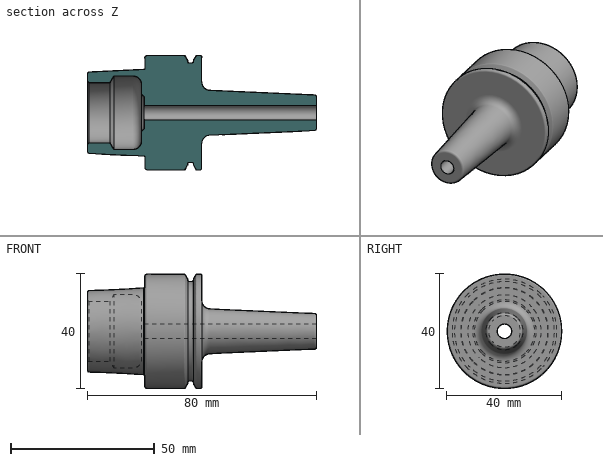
import cadquery as cq
import math

length = 80.0

shank_mouth_radius = 14.2
shank_root_radius = 30.2 / 2
shank_taper_end = 18.3
shank_collar_end = 19.5
shank_flare_radius = 15.3
shank_round = 0.8

flange_start = 20.0
flange_end = 40.0
flange_radius = 40.0 / 2
flange_front_round = 1.0
flange_rear_round = 0.6

groove_start = 35.0
groove_end = 37.0
groove_floor_radius = 34.8 / 2
groove_flare_radius = 18.2
groove_flare_angle = 30.0
groove_floor_round = 0.5
groove_front_rim_round = 0.6
groove_rear_rim_round = 0.5

nose_root_radius = 8.0
nose_tip_radius = 6.2
nose_root_round = 2.8
nose_tip_round = 0.8

mouth_radius = 22.1 / 2
socket_radius = 21.0 / 2
socket_chamfer = mouth_radius - socket_radius
clamp_groove_start = 7.9
clamp_groove_radius = 25.5 / 2
clamp_flank_angle = 60.0
socket_floor_radius = 19.8 / 2
socket_floor_round = clamp_groove_radius - socket_floor_radius
socket_depth = 18.9
recess_radius = 13.0 / 2
recess_floor_radius = 11.0 / 2
recess_depth = socket_depth + recess_radius - recess_floor_radius
through_radius = 5.0 / 2


def revolve_profile(points):
    """Turn a closed (x, radius) outline about the X axis."""
    return cq.Workplane("XY").polyline(points).close().revolve(360, (0, 0, 0), (1, 0, 0))


def round_rim(body, x, radius, size):
    """Round the circular edge found at the given axial place and radius."""
    reach = radius + 0.01
    margin = 0.01
    rim = cq.selectors.BoxSelector(
        (x - margin, -reach, -reach), (x + margin, reach, reach), boundingbox=True
    )
    inner = radius - margin
    edges = [e for e in body.edges(rim).vals() if e.BoundingBox().zmax > inner]
    return body.newObject(edges).fillet(size)


def make_body():
    flare_width = (flange_radius - groove_flare_radius) * math.tan(math.radians(groove_flare_angle))
    groove_front_rim = groove_start - flare_width
    groove_rear_rim = groove_end + flare_width
    body = revolve_profile([
        (0, 0),
        (0, shank_mouth_radius),
        (shank_taper_end, shank_root_radius),
        (shank_collar_end, shank_root_radius),
        (flange_start, shank_flare_radius),
        (flange_start, flange_radius),
        (groove_front_rim, flange_radius),
        (groove_start, groove_flare_radius),
        (groove_start, groove_floor_radius),
        (groove_end, groove_floor_radius),
        (groove_end, groove_flare_radius),
        (groove_rear_rim, flange_radius),
        (flange_end, flange_radius),
        (flange_end, nose_root_radius),
        (length, nose_tip_radius),
        (length, 0),
    ])
    rounds = [
        (0, shank_mouth_radius, shank_round),
        (flange_start, flange_radius, flange_front_round),
        (groove_front_rim, flange_radius, groove_front_rim_round),
        (groove_start, groove_floor_radius, groove_floor_round),
        (groove_end, groove_floor_radius, groove_floor_round),
        (groove_rear_rim, flange_radius, groove_rear_rim_round),
        (flange_end, flange_radius, flange_rear_round),
        (flange_end, nose_root_radius, nose_root_round),
        (length, nose_tip_radius, nose_tip_round),
    ]
    for x, radius, size in rounds:
        body = round_rim(body, x, radius, size)
    return body


def make_bore():
    flank_rise = clamp_groove_radius - socket_radius
    flank_end = clamp_groove_start + flank_rise / math.tan(math.radians(clamp_flank_angle))
    socket = revolve_profile([
        (0, 0),
        (0, mouth_radius),
        (socket_chamfer, socket_radius),
        (clamp_groove_start, socket_radius),
        (flank_end, clamp_groove_radius),
        (socket_depth, clamp_groove_radius),
        (socket_depth, 0),
    ])
    socket = round_rim(socket, socket_depth, clamp_groove_radius, socket_floor_round)
    passage = revolve_profile([
        (0, 0),
        (0, recess_radius),
        (socket_depth, recess_radius),
        (recess_depth, recess_floor_radius),
        (recess_depth, through_radius),
        (length, through_radius),
        (length, 0),
    ])
    return socket.union(passage)


result = make_body().cut(make_bore())